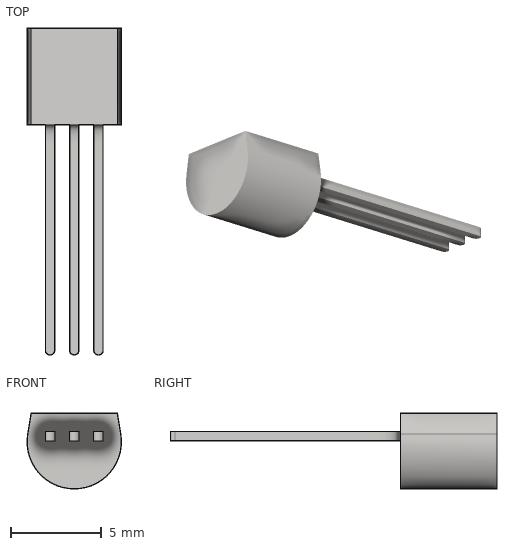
import cadquery as cq
import math

total_length = 18.03
body_length = 5.34
body_width = 5.21
body_height = 4.18
flat_width = 4.76

lead_size = 0.52
lead_pitch = 1.33
lead_depth_below_flat = 1.26
lead_count = 3

body_radius = body_width / 2
flat_z = body_height - body_radius
lead_z = flat_z - lead_depth_below_flat
lead_length = total_length - body_length


def make_body():
    """D-shaped prism about the Y axis; its sides are tangent to the round."""
    half_flat = flat_width / 2
    corner_angle = math.atan2(flat_z, half_flat)
    corner_distance = math.hypot(half_flat, flat_z)
    tangent_angle = corner_angle - math.acos(body_radius / corner_distance)
    tangent_x = body_radius * math.cos(tangent_angle)
    tangent_z = body_radius * math.sin(tangent_angle)
    return (
        cq.Workplane("XZ")
        .moveTo(-half_flat, flat_z)
        .lineTo(half_flat, flat_z)
        .lineTo(tangent_x, tangent_z)
        .threePointArc((0, -body_radius), (-tangent_x, tangent_z))
        .close()
        .extrude(-body_length)
    )


def make_lead(x):
    """Square lead from the body face, with a half-round tip."""
    half_size = lead_size / 2
    tip_start_y = half_size - lead_length
    return (
        cq.Workplane("XY", origin=(x, 0, lead_z - half_size))
        .moveTo(-half_size, 0)
        .lineTo(-half_size, tip_start_y)
        .threePointArc((0, -lead_length), (half_size, tip_start_y))
        .lineTo(half_size, 0)
        .close()
        .extrude(lead_size)
    )


result = make_body()
for index in range(lead_count):
    lead_x = (index - (lead_count - 1) / 2) * lead_pitch
    result = result.union(make_lead(lead_x))